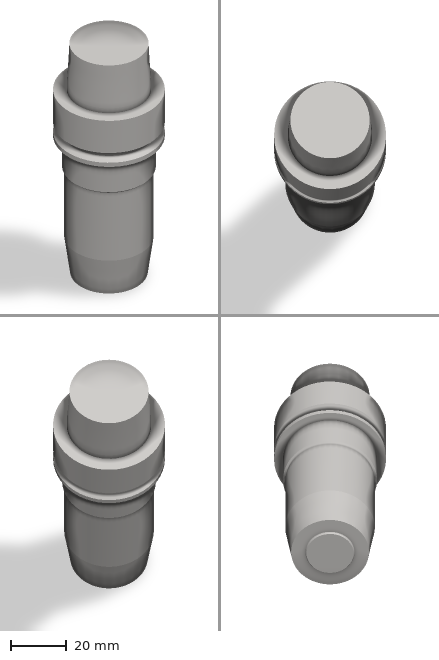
import cadquery as cq

total_length = 100.0

boss_height = 0.8
boss_tip_diameter = 16.8
boss_base_diameter = 17.6
nose_tip_diameter = 27.8
nose_top = 16.5

body_diameter = 32.0
collar_bottom = 46.0
collar_diameter = 33.6

flange_diameter = 40.0
flange_bottom = 60.0
flange_top = 80.0
groove_diameter = 34.8
lower_rim_height = 1.8
lower_chamfer_height = 1.2
groove_top = 64.8
upper_chamfer_height = 1.2
groove_chamfer_width = 1.9

shank_base_diameter = 30.2
shank_base_height = 2.0
shank_tip_diameter = 28.3

boss_tip_radius = boss_tip_diameter / 2
boss_base_radius = boss_base_diameter / 2
nose_tip_radius = nose_tip_diameter / 2
body_radius = body_diameter / 2
collar_radius = collar_diameter / 2
collar_chamfer = collar_radius - body_radius
flange_radius = flange_diameter / 2
groove_radius = groove_diameter / 2
shank_base_radius = shank_base_diameter / 2
shank_tip_radius = shank_tip_diameter / 2
rim_edge_radius = flange_radius - groove_chamfer_width
lower_rim_top = flange_bottom + lower_rim_height
groove_bottom = lower_rim_top + lower_chamfer_height
shank_base_top = flange_top + shank_base_height

nose_profile = [
    (0, 0),
    (boss_tip_radius, 0),
    (boss_base_radius, boss_height),
    (nose_tip_radius, boss_height),
    (body_radius, nose_top),
]
collar_profile = [
    (body_radius, collar_bottom),
    (collar_radius, collar_bottom + collar_chamfer),
    (collar_radius, flange_bottom),
]
flange_profile = [
    (flange_radius, flange_bottom),
    (flange_radius, lower_rim_top),
    (rim_edge_radius, groove_bottom),
    (groove_radius, groove_bottom),
    (groove_radius, groove_top),
    (rim_edge_radius, groove_top),
    (flange_radius, groove_top + upper_chamfer_height),
    (flange_radius, flange_top),
]
shank_profile = [
    (shank_base_radius, flange_top),
    (shank_base_radius, shank_base_top),
    (shank_tip_radius, total_length),
    (0, total_length),
]

result = (
    cq.Workplane("XZ")
    .polyline(nose_profile + collar_profile + flange_profile + shank_profile)
    .close()
    .revolve(360, (0, 0), (0, 1))
)